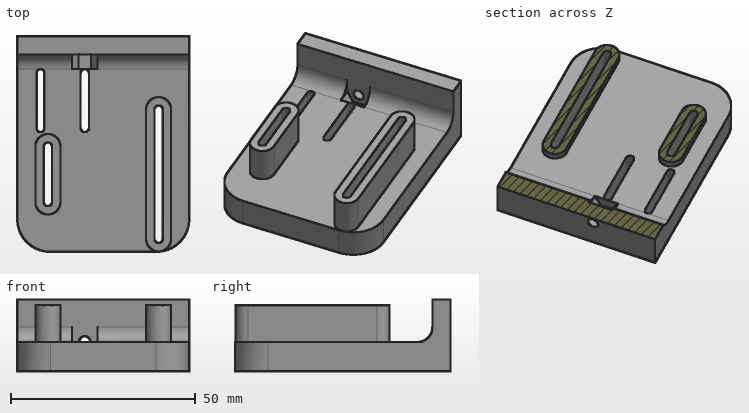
import cadquery as cq
import math

width = 46.7
depth = 58.5
base_height = 8.0
corner_radius = 9.0

wall_height = 19.5
wall_thickness = 5.0
wall_face_y = depth - wall_thickness
foot_radius = 4.0
foot_front_y = wall_face_y - foot_radius

boss_height = 10.0
boss_width = 6.8
boss_side_inset = 8.35
slot_width = 2.2
boss_center_y = 21.05
short_boss_spacing = 15.0
long_boss_spacing = 35.0

plain_slot_width = 2.0
plain_slot_length = 17.0
left_slot_x = 6.35
screw_x = 18.35

screw_diameter = 3.0
nut_across_corners = 6.9
nut_across_flats = nut_across_corners * math.cos(math.pi / 6)
screw_z = base_height


def upright_slot(x, y, z, spacing, slot_w, height):
    """Round-ended prism, long in Y; spacing is between its end centres."""
    return (
        cq.Workplane("XY", origin=(x, y, z))
        .slot2D(spacing + slot_w, slot_w, 90)
        .extrude(height)
    )


def make_body():
    """L-shaped profile swept across X, with the front corners rounded."""
    return (
        cq.Workplane("YZ")
        .lineTo(depth, 0)
        .lineTo(depth, wall_height)
        .lineTo(wall_face_y, wall_height)
        .lineTo(wall_face_y, base_height + foot_radius)
        .radiusArc((foot_front_y, base_height), foot_radius)
        .lineTo(0, base_height)
        .close()
        .extrude(width)
        .edges("|Z and <Y")
        .fillet(corner_radius)
    )


def add_slotted_boss(body, x, y, spacing):
    """Boss on the base with a slot through both boss and base."""
    boss = upright_slot(x, y, base_height, spacing, boss_width, boss_height)
    slot = upright_slot(x, y, 0, spacing, slot_width, base_height + boss_height)
    return body.union(boss).cut(slot)


def cut_plain_slot(body, x, slot_w):
    """Slot through the base, running forward from the wall's foot."""
    center_y = foot_front_y - plain_slot_length / 2
    return body.cut(upright_slot(x, center_y, 0, plain_slot_length - slot_w, slot_w, base_height))


def cut_screw_and_nut(body):
    """Screw hole through the wall, and a nut pocket open at the top."""
    half_corners = nut_across_corners / 2
    half_flat = half_corners / 2
    pocket_top = foot_radius
    pocket = (
        cq.Workplane("XZ", origin=(screw_x, wall_face_y, screw_z))
        .moveTo(-half_corners, pocket_top)
        .lineTo(-half_corners, 0)
        .lineTo(-half_flat, -nut_across_flats / 2)
        .lineTo(half_flat, -nut_across_flats / 2)
        .lineTo(half_corners, 0)
        .lineTo(half_corners, pocket_top)
        .close()
        .extrude(foot_radius)
    )
    hole = (
        cq.Workplane("XZ", origin=(screw_x, depth, screw_z))
        .circle(screw_diameter / 2)
        .extrude(wall_thickness)
    )
    return body.cut(pocket).cut(hole)


result = make_body()
result = add_slotted_boss(result, boss_side_inset, boss_center_y, short_boss_spacing)
result = add_slotted_boss(result, width - boss_side_inset, boss_center_y, long_boss_spacing)
result = cut_plain_slot(result, left_slot_x, plain_slot_width)
result = cut_plain_slot(result, screw_x, slot_width)
result = cut_screw_and_nut(result)